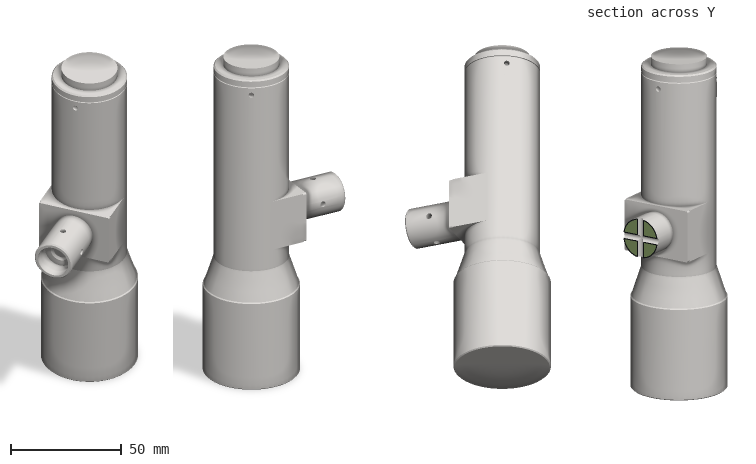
import cadquery as cq

total_height = 156.5
total_depth = 66.0

base_diameter = 44.0
base_radius = base_diameter / 2
base_top = 43.5
cone_top = 57.1
edge_chamfer = 0.5

tube_radius = 17.0
cap_radius = 12.7
cap_height = 3.9
ring_height = 3.5
ring_top = total_height - cap_height
ring_bottom = ring_top - ring_height
ring_chamfer = 0.6

screw_hole_count = 3
screw_hole_radius = 1.3
screw_hole_depth = 2.5
screw_hole_z = 145.2

block_width = 2 * tube_radius
block_height = 24.1
block_z = 78.5
plate_thickness = 1.9
plate_corner_radius = 0.8
plate_back = tube_radius

barrel_diameter = 18.3
barrel_radius = barrel_diameter / 2
barrel_end = total_depth - base_radius
barrel_chamfer = 0.6
bore_radius = 7.4
bore_depth = 8.5
bore_floor = barrel_end - bore_depth
pin_hole_radius = 1.4
pin_hole_distance = 32.0

socket_radius = 3.9
socket_depth = 1.5
socket_chamfer = 0.6

cut_clearance = 1.5


def y_cylinder(radius, start, end, z):
    """Cylinder along -Y, between two distances from the tube axis."""
    plane = cq.Plane(origin=(0, -start, z), xDir=(1, 0, 0), normal=(0, -1, 0))
    return cq.Workplane(plane).circle(radius).extrude(end - start)


def make_tube():
    """Revolved body: base, cone, tube, chamfered top ring and end cap."""
    profile = [
        (0, 0),
        (base_radius - edge_chamfer, 0),
        (base_radius, edge_chamfer),
        (base_radius, base_top - edge_chamfer),
        (base_radius - edge_chamfer, base_top),
        (tube_radius, cone_top),
        (tube_radius, ring_bottom - edge_chamfer),
        (tube_radius - edge_chamfer, ring_bottom),
        (tube_radius, ring_bottom),
        (tube_radius, ring_top - ring_chamfer),
        (tube_radius - ring_chamfer, ring_top),
        (cap_radius, ring_top),
        (cap_radius, total_height),
        (0, total_height),
    ]
    return cq.Workplane("XZ").polyline(profile).close().revolve(360, (0, 0), (0, 1))


def make_block():
    """Rectangular block out to the tube's front, with a round-cornered face plate."""
    block = (
        cq.Workplane("XY")
        .box(block_width, plate_back, block_height)
        .translate((0, -plate_back / 2, block_z))
    )
    plate = (
        cq.Workplane("XY")
        .box(block_width, plate_thickness, block_height)
        .edges("|Y")
        .fillet(plate_corner_radius)
        .translate((0, -plate_back - plate_thickness / 2, block_z))
    )
    return block.union(plate)


def make_barrel():
    """Solid connector barrel with a chamfered outer end."""
    barrel = y_cylinder(barrel_radius, plate_back, barrel_end, block_z)
    return barrel.faces("<Y").chamfer(barrel_chamfer)


def cut_connector(body):
    """Bore, countersunk socket and the two crossing pin holes of the connector."""
    bore = y_cylinder(bore_radius, bore_floor, barrel_end, block_z)
    socket = y_cylinder(socket_radius, bore_floor - socket_depth, bore_floor, block_z)
    countersink = cq.Workplane(
        cq.Solid.makeCone(
            socket_radius + socket_chamfer,
            socket_radius,
            socket_chamfer,
            pnt=cq.Vector(0, -bore_floor, block_z),
            dir=cq.Vector(0, 1, 0),
        )
    )
    body = body.cut(bore).cut(socket).cut(countersink)
    pin_hole = (
        cq.Workplane("XY")
        .circle(pin_hole_radius)
        .extrude(barrel_radius + cut_clearance, both=True)
    )
    for angle in (0, 90):
        turned = pin_hole.rotate((0, 0, 0), (0, 1, 0), angle)
        body = body.cut(turned.translate((0, -pin_hole_distance, block_z)))
    return body


def cut_screw_holes(body):
    """Blind radial holes spaced evenly around the tube, starting at -Y."""
    hole_floor = tube_radius - screw_hole_depth
    hole = y_cylinder(
        screw_hole_radius, hole_floor, tube_radius + cut_clearance, screw_hole_z
    )
    for index in range(screw_hole_count):
        angle = index * 360 / screw_hole_count
        body = body.cut(hole.rotate((0, 0, 0), (0, 0, 1), angle))
    return body


body = make_tube().union(make_block()).union(make_barrel())
result = cut_screw_holes(cut_connector(body))